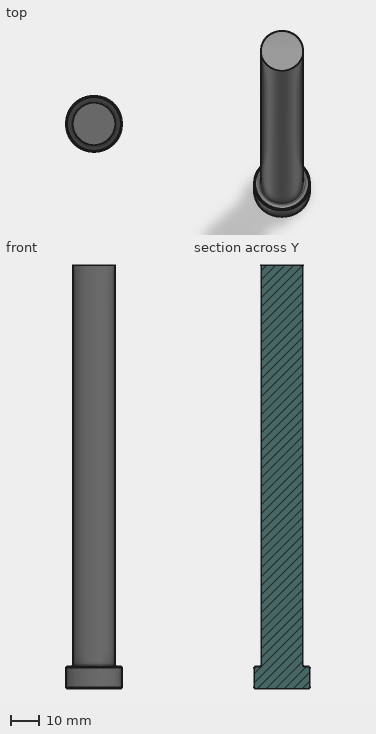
import cadquery as cq

total_length = 150.0
shank_diameter = 15.0
head_diameter = 20.0
head_height = 8.0
head_chamfer = 0.5
neck_fillet = 0.5

shank_radius = shank_diameter / 2

head = cq.Workplane("XY").circle(head_diameter / 2).extrude(head_height)
head = head.faces("<Z or >Z").edges().chamfer(head_chamfer)

shank = cq.Workplane("XY").circle(shank_radius).extrude(total_length)

neck = (
    cq.Workplane("XZ")
    .moveTo(0, head_height)
    .lineTo(shank_radius + neck_fillet, head_height)
    .radiusArc((shank_radius, head_height + neck_fillet), neck_fillet)
    .lineTo(0, head_height + neck_fillet)
    .close()
    .revolve(360, (0, 0, 0), (0, 1, 0))
)

result = head.union(shank).union(neck)